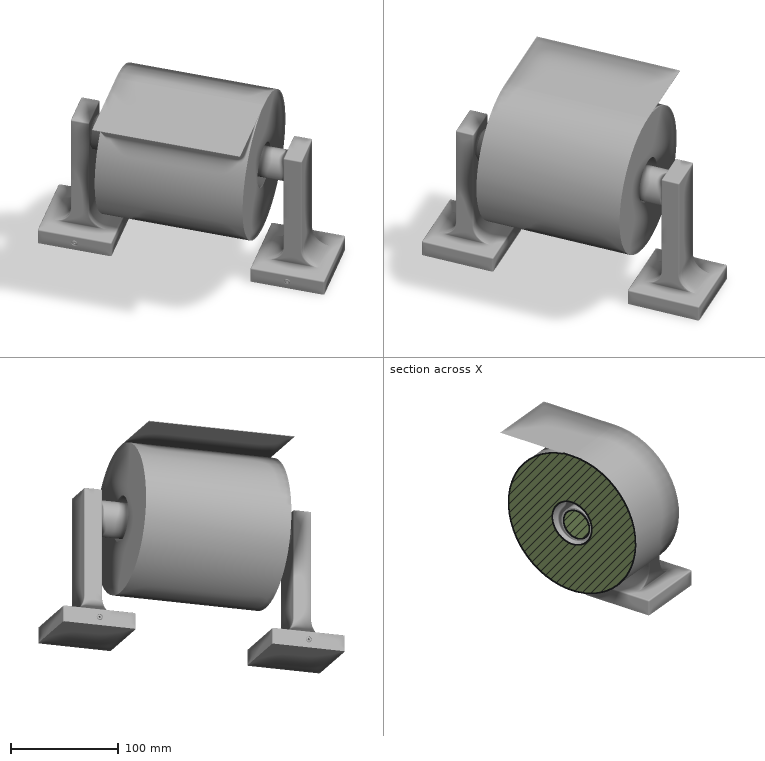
import cadquery as cq
import math

overall_length = 278.4
overall_height = 188.5

base_size = 71.8
base_height = 16.0
base_edge_radius = 1.5
post_width = 17.8
post_depth = 36.2
post_top = 139.2
post_edge_radius = 1.0
flare_radius = 17.5
foot_radius = 0.8
foot_sink = 2.8
foot_ledge = 1.7
holder_offset = (overall_length - base_size) / 2

screw_diameter = 5.8
screw_length = 14.0
screw_chamfer = 0.8
socket_width = 2.0
socket_depth = 2.8
screw_height = base_height / 2

roll_diameter = 143.5
roll_length = 143.5
core_diameter = 44.0
sheet_reach = 80.5
sheet_thickness = 0.5
axis_height = overall_height - roll_diameter / 2

thick_spindle_diameter = 34.0
thin_spindle_diameter = 29.5
spindle_chamfer = 2.0
spindle_half_length = holder_offset - post_width / 2

roll_y = -(core_diameter - thick_spindle_diameter) / 2


def make_base():
    return (
        cq.Workplane("XY")
        .box(base_size, base_size, base_height, centered=(True, True, False))
        .edges("|Z or >Z")
        .fillet(base_edge_radius)
    )


def make_post():
    """Post whose flares end level with the top of the base, on a block sunk into the base."""
    half_width = post_width / 2
    flare_end = half_width + flare_radius
    foot_end = flare_end + foot_ledge
    arc_middle = flare_radius * (1 - math.sqrt(0.5))
    post = (
        cq.Workplane("XZ")
        .moveTo(0, base_height - foot_sink)
        .lineTo(foot_end, base_height - foot_sink)
        .lineTo(foot_end, base_height)
        .lineTo(flare_end, base_height)
        .threePointArc(
            (half_width + arc_middle, base_height + arc_middle),
            (half_width, base_height + flare_radius),
        )
        .lineTo(half_width, post_top)
        .lineTo(0, post_top)
        .mirrorY()
        .extrude(post_depth / 2, both=True)
    )
    above_base = cq.selectors.BoxSelector(
        (-foot_end, -post_depth, base_height + foot_radius),
        (foot_end, post_depth, post_top + foot_radius),
    )
    return post.edges(above_base).edges("(not |Y) or >Z").fillet(post_edge_radius)


def screw_plane(x):
    """Plane on the front of a base, centred on its set screw and facing into the base."""
    return cq.Plane(origin=(x, -base_size / 2, screw_height), xDir=(1, 0, 0), normal=(0, 1, 0))


def make_screw_blank(x):
    return cq.Workplane(screw_plane(x)).circle(screw_diameter / 2).extrude(screw_length)


def make_holder(x):
    holder = make_base().union(make_post())
    for side in (-1, 1):
        foot_line = cq.selectors.NearestToPointSelector((0, side * post_depth / 2, base_height))
        holder = holder.edges(foot_line).fillet(foot_radius)
    return holder.translate((x, 0, 0)).cut(make_screw_blank(x))


def make_screw(x):
    corner_diameter = socket_width / math.cos(math.pi / 6)
    socket = cq.Workplane(screw_plane(x)).polygon(6, corner_diameter).extrude(socket_depth)
    screw = make_screw_blank(x).faces("<Y").edges().chamfer(screw_chamfer)
    return screw.cut(socket)


def cylinder_along_x(start, diameter, length, y=0.0):
    """Cylinder at the spindle height that runs in +X from start."""
    plane = cq.Plane(origin=(start, y, axis_height), xDir=(0, 0, 1), normal=(1, 0, 0))
    return cq.Workplane(plane).circle(diameter / 2).extrude(length)


def make_roll():
    """Hollow roll with a flat sheet that leaves its top toward the front."""
    paper = cylinder_along_x(-roll_length / 2, roll_diameter, roll_length, roll_y)
    core = cylinder_along_x(-roll_length / 2, core_diameter, roll_length, roll_y)
    sheet = (
        cq.Workplane("XY")
        .box(roll_length, sheet_reach, sheet_thickness, centered=(True, False, False))
        .translate((0, roll_y - sheet_reach, overall_height - sheet_thickness))
    )
    return paper.union(sheet).cut(core)


def make_thick_spindle():
    spindle = cylinder_along_x(-spindle_half_length, thick_spindle_diameter, spindle_half_length)
    return spindle.faces("<X").edges().chamfer(spindle_chamfer)


def make_thin_spindle():
    spindle = cylinder_along_x(0, thin_spindle_diameter, spindle_half_length)
    return spindle.faces(">X").edges().chamfer(spindle_chamfer)


holder_places = (-holder_offset, holder_offset)
holders = [make_holder(x) for x in holder_places]
screws = [make_screw(x) for x in holder_places]
roll = make_roll()
thick_spindle = make_thick_spindle()
thin_spindle = make_thin_spindle()

bodies = [*holders, *screws, roll, thick_spindle, thin_spindle]
result = cq.Compound.makeCompound([body.solids().val() for body in bodies])